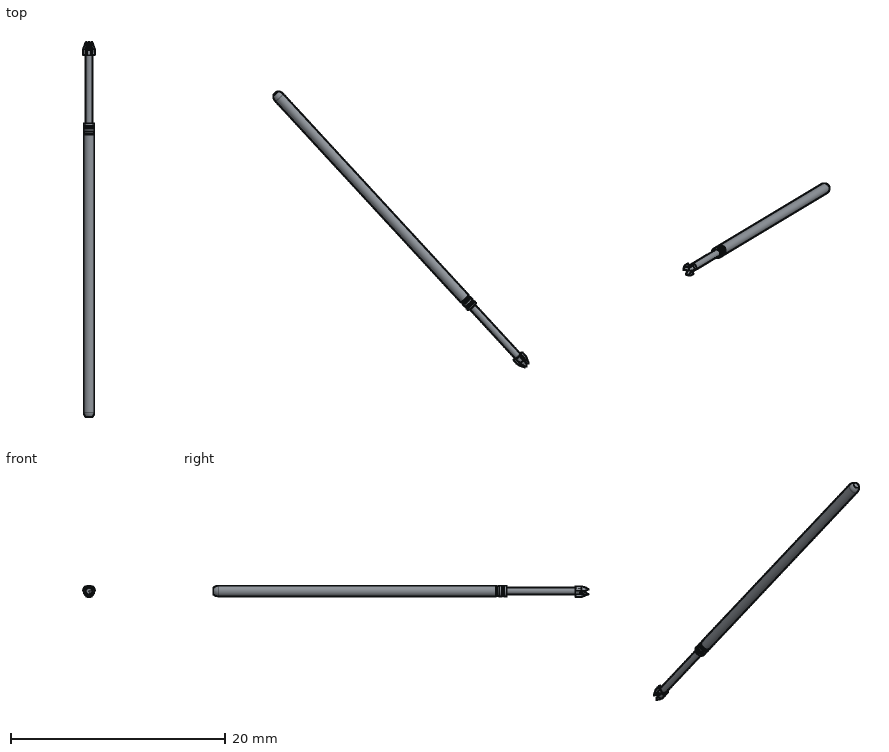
import cadquery as cq
import math


total_length = 35.1
barrel_length = 27.45
head_length = 1.27
head_base = total_length - head_length

barrel_radius = 0.51
end_rounding_length = 0.47
end_face_radius = 0.30
crimp_depth = 0.06
crimps = ((0.36, 0.24), (0.90, 0.32))

plunger_radius = 0.34
plunger_insertion = 1.0

head_radius = 0.57
head_rim_length = 0.55
tip_radius = 0.30
base_chamfer_length = 0.07
base_chamfer_depth = 0.02
tooth_count = 3
flute_floor_distance = 0.28
flute_floor_width = 0.34
flute_rim_half_angle = 35
valley_depth = 0.50
valley_fall = 1.2


def revolved(profile):
    """Turn a closed half profile (radius, Y) about the Y axis."""
    return profile.close().revolve(360, (0, 0, 0), (0, 1, 0))


def make_barrel():
    """Cylinder whose closed end is rounded by an arc tangent to its side."""
    profile = (
        cq.Workplane("XY")
        .lineTo(0, barrel_length)
        .lineTo(barrel_radius, barrel_length)
        .lineTo(barrel_radius, end_rounding_length)
        .tangentArcPoint((end_face_radius, 0), relative=False)
    )
    return revolved(profile)


def make_crimp_cutter(position, width):
    """Ring of V section that leaves a shallow groove in the barrel."""
    middle = barrel_length - position
    profile = (
        cq.Workplane("XY")
        .moveTo(barrel_radius, middle - width / 2)
        .lineTo(barrel_radius - crimp_depth, middle)
        .lineTo(barrel_radius, middle + width / 2)
        .lineTo(2 * barrel_radius, middle + width / 2)
        .lineTo(2 * barrel_radius, middle - width / 2)
    )
    return revolved(profile)


def make_plunger():
    start = barrel_length - plunger_insertion
    profile = (
        cq.Workplane("XY")
        .moveTo(0, start)
        .lineTo(plunger_radius, start)
        .lineTo(plunger_radius, head_base)
        .lineTo(0, head_base)
    )
    return revolved(profile)


def make_head_blank():
    """Short cylinder, chamfered at its base, under a cone that runs to the tooth points."""
    profile = (
        cq.Workplane("XY")
        .moveTo(0, head_base)
        .lineTo(head_radius - base_chamfer_depth, head_base)
        .lineTo(head_radius, head_base + base_chamfer_length)
        .lineTo(head_radius, head_base + head_rim_length)
        .lineTo(tip_radius, total_length)
        .lineTo(0, total_length)
    )
    return revolved(profile)


def make_flute_cutter():
    """Trapezoidal groove along the whole head on its +Z side."""
    rim_angle = math.radians(flute_rim_half_angle)
    rim_half_width = head_radius * math.sin(rim_angle)
    rim_distance = head_radius * math.cos(rim_angle)
    floor_half_width = flute_floor_width / 2
    wall_spread = (rim_half_width - floor_half_width) / (rim_distance - flute_floor_distance)
    top_distance = 2 * head_radius
    top_half_width = floor_half_width + wall_spread * (top_distance - flute_floor_distance)
    return (
        cq.Workplane("XZ", origin=(0, total_length, 0))
        .moveTo(-floor_half_width, flute_floor_distance)
        .lineTo(floor_half_width, flute_floor_distance)
        .lineTo(top_half_width, top_distance)
        .lineTo(-top_half_width, top_distance)
        .close()
        .extrude(head_length)
    )


def make_valley_cutter():
    """V groove that starts at the crown centre and falls outward along +Z.

    Its flanks meet those of the neighbouring valleys in ridges that climb to the tooth points.
    """
    half_step = math.pi / tooth_count
    ridge_slope = valley_depth / tip_radius
    flank_rise = (ridge_slope + valley_fall * math.cos(half_step)) / math.sin(half_step)
    floor_height = total_length - valley_depth
    reach = 2 * head_radius
    section = cq.Wire.makePolygon(
        [
            cq.Vector(0, floor_height, 0),
            cq.Vector(reach, floor_height + flank_rise * reach, 0),
            cq.Vector(-reach, floor_height + flank_rise * reach, 0),
        ],
        close=True,
    )
    sweep = cq.Vector(0, -valley_fall * reach, reach)
    return cq.Workplane(cq.Solid.extrudeLinear(section, [], sweep))


def make_head():
    head = make_head_blank()
    for cutter in (make_flute_cutter(), make_valley_cutter()):
        for i in range(tooth_count):
            head = head.cut(cutter.rotate((0, 0, 0), (0, 1, 0), i * 360 / tooth_count))
    return head


barrel = make_barrel()
for position, width in crimps:
    barrel = barrel.cut(make_crimp_cutter(position, width))

result = barrel.union(make_plunger()).union(make_head())